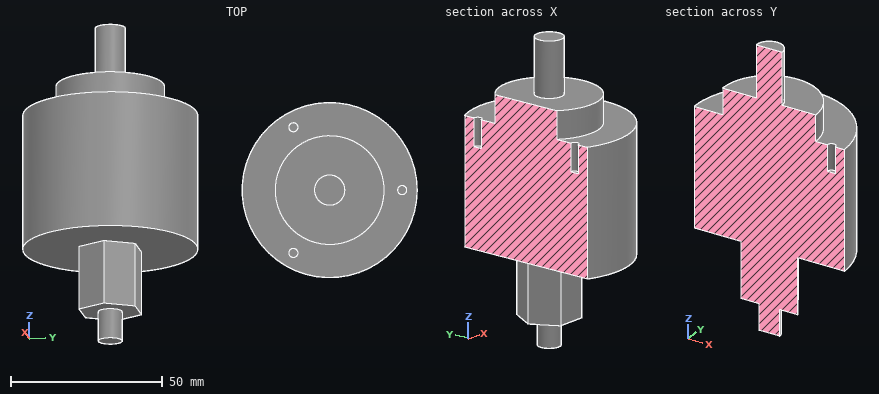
import cadquery as cq
import math

body_diameter = 58.0
body_length = 46.0

pilot_diameter = 36.0
pilot_length = 10.0
output_shaft_diameter = 10.0
output_shaft_length = 20.0

hex_across_flats = 19.0
hex_across_corners = hex_across_flats / math.cos(math.pi / 6)
hex_length = 21.5
rear_shaft_diameter = 8.0
rear_shaft_length = 10.0

hole_count = 3
hole_diameter = 3.0
hole_circle_diameter = 48.0
hole_depth = 10.0

body_top = body_length
pilot_top = body_top + pilot_length
hex_bottom = -hex_length
rear_shaft_bottom = hex_bottom - rear_shaft_length


def cylinder(diameter, bottom, length):
    """Cylinder on the Z axis rising from the given level."""
    return cq.Workplane("XY").workplane(offset=bottom).circle(diameter / 2).extrude(length)


def hexagonal_boss():
    """Hexagonal prism under the body with two corners on the X axis."""
    return (
        cq.Workplane("XY")
        .workplane(offset=hex_bottom)
        .polygon(6, hex_across_corners)
        .extrude(hex_length)
    )


def mounting_holes():
    """Blind holes evenly spaced on a circle, the first one on +X."""
    return (
        cq.Workplane("XY")
        .workplane(offset=body_top)
        .polarArray(hole_circle_diameter / 2, 0, 360, hole_count)
        .circle(hole_diameter / 2)
        .extrude(-hole_depth)
    )


result = (
    cylinder(body_diameter, 0, body_length)
    .union(cylinder(pilot_diameter, body_top, pilot_length))
    .union(cylinder(output_shaft_diameter, pilot_top, output_shaft_length))
    .union(hexagonal_boss())
    .union(cylinder(rear_shaft_diameter, rear_shaft_bottom, rear_shaft_length))
    .cut(mounting_holes())
)